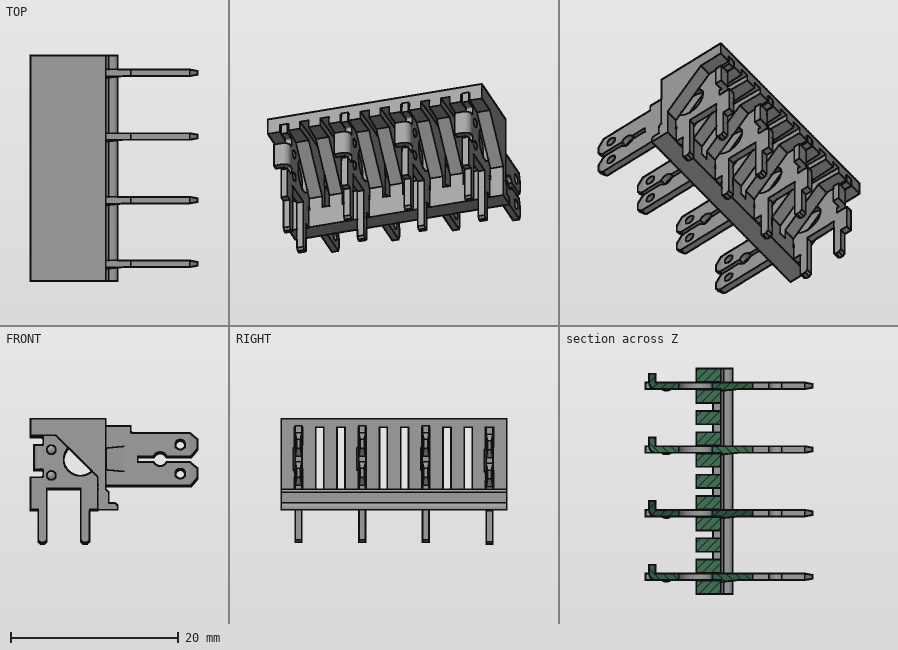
import cadquery as cq
import math


overall_height = 15.0

housing_length = 26.98
housing_depth = 9.0
housing_height = 10.93
lip_height = 2.0
lip_depth = 3.02
back_wall_thickness = 0.95
slope_end_z = 3.95

latch_top_z = 2.48
latch_step = 0.38
latch_reach = 1.45
latch_foot_height = 0.85
latch_radius = 0.55

terminal_count = 4
slots_per_pitch = 3
terminal_pitch = 7.6
slot_pitch = terminal_pitch / slots_per_pitch
slot_count = (terminal_count - 1) * slots_per_pitch + 1
slot_mouth_width = 1.1
slot_width = 0.92
slot_bottom_z = 2.48
slot_top_z = 9.87

sheet = 0.8
sunk_depth = 0.2
mid_z = 6.1
corner_radius = 0.2

plate_top_z = 10.06
plate_bottom_z = 0.1
plate_right_x = housing_depth - back_wall_thickness
window_x = 6.0
window_diameter = 4.0

leg_width = 1.05
leg_left_xs = (0.92, 6.02)
leg_crotch_z = 2.6
leg_tip_z = housing_height + sunk_depth - overall_height
leg_chamfer = 0.3

notch_right_x = 1.55
upper_notch_top_z = 8.82
lower_notch_bottom_z = 3.95
tab_top_z = 7.77
tab_bottom_z = 4.88
tab_face_x = 0.43
tab_overhang = 1.05

dimple_x = 2.5
dimple_zs = (7.2, 4.13)
dimple_diameter = 1.08
dimple_height = 0.2

blade_height = 6.25
blade_end_x = 20.0
shoulder_x = 12.0
tip_length = 0.95
tip_drop = 0.78
tip_thickness = 0.45
split_height = 0.67
split_start_x = 12.85
split_eye_x = 15.51
split_eye_diameter = 1.67
prong_hole_x = 17.91
prong_hole_diameter = 1.2

barb_gap = 0.05
barb_start_x = housing_depth + barb_gap
barb_end_x = 11.15
barb_root_height = 2.6
barb_end_height = 3.0
barb_rise = 0.22


def housing_profile():
    step_x = housing_depth + latch_step
    foot_x = housing_depth + latch_reach
    round_middle = latch_radius * (1 - math.sqrt(0.5))
    return (
        cq.Workplane("XZ", origin=(0, housing_length / 2, 0))
        .moveTo(0, housing_height)
        .lineTo(housing_depth, housing_height)
        .lineTo(housing_depth, latch_top_z)
        .lineTo(step_x, latch_top_z - latch_step)
        .lineTo(step_x, latch_foot_height)
        .lineTo(foot_x - latch_radius, latch_foot_height)
        .threePointArc(
            (foot_x - round_middle, latch_foot_height - round_middle),
            (foot_x, latch_foot_height - latch_radius),
        )
        .lineTo(foot_x, 0)
        .lineTo(plate_right_x, 0)
        .lineTo(plate_right_x, slope_end_z)
        .lineTo(lip_depth, housing_height - lip_height)
        .lineTo(0, housing_height - lip_height)
        .close()
    )


def slot_cutter(y):
    """Slot through the full depth of the housing, with a mouth that narrows along the lip."""
    mouth_half = slot_mouth_width / 2
    slot_half = slot_width / 2
    return (
        cq.Workplane("XY", origin=(0, y, slot_bottom_z))
        .polyline([
            (0, -mouth_half), (lip_depth, -slot_half), (housing_depth, -slot_half),
            (housing_depth, slot_half), (lip_depth, slot_half), (0, mouth_half),
        ])
        .close()
        .extrude(slot_top_z - slot_bottom_z)
    )


def make_housing(terminals):
    body = housing_profile().extrude(housing_length)
    for index in range(slot_count):
        body = body.cut(slot_cutter((index - (slot_count - 1) / 2) * slot_pitch))
    for terminal in terminals:
        body = body.cut(terminal)
    return body


def sheet_box(x_min, x_max, z_min, z_max):
    """Flat rectangle of the terminal sheet, centred on Y = 0."""
    return cq.Workplane("XY").box(x_max - x_min, sheet, z_max - z_min).translate(
        ((x_min + x_max) / 2, 0, (z_min + z_max) / 2)
    )


def sheet_disc(x, z, diameter):
    """Round hole cutter through the terminal sheet."""
    return cq.Workplane("XZ", origin=(x, sheet, z)).circle(diameter / 2).extrude(2 * sheet)


def make_plate():
    plate = sheet_box(0, plate_right_x, plate_bottom_z, plate_top_z)
    plate = plate.cut(
        sheet_box(leg_left_xs[0] + leg_width, leg_left_xs[1], plate_bottom_z, leg_crotch_z)
    )
    for z_min, z_max in ((lower_notch_bottom_z, tab_bottom_z), (tab_top_z, upper_notch_top_z)):
        notch = sheet_box(-notch_right_x, notch_right_x, z_min, z_max)
        plate = plate.cut(notch.edges("|Y and >X").fillet(corner_radius))
    plate = plate.cut(sheet_box(0, tab_face_x + sheet, tab_bottom_z, tab_top_z))
    return plate.cut(sheet_disc(window_x, mid_z, window_diameter))


def make_leg(left_x):
    leg = sheet_box(left_x, left_x + leg_width, leg_tip_z, leg_crotch_z)
    return leg.edges("|Y and <Z").chamfer(leg_chamfer)


def make_tab():
    """Tab bent square to the plate, rounded on the outside of the bend."""
    bend_radius = 0.999 * sheet
    y_min = -sheet / 2
    y_max = sheet / 2 + tab_overhang
    return (
        cq.Workplane("XY", origin=(tab_face_x, y_min, tab_bottom_z))
        .box(sheet, y_max - y_min, tab_top_z - tab_bottom_z, centered=False)
        .edges("|Z and <X and <Y")
        .fillet(bend_radius)
    )


def make_dimple(z):
    """Spherical cap standing out of the -Y face."""
    half = dimple_diameter / 2
    sphere_radius = (half**2 + dimple_height**2) / (2 * dimple_height)
    face_y = -sheet / 2
    ball = cq.Workplane("XY").sphere(sphere_radius, direct=(0, 1, 0)).translate(
        (dimple_x, face_y - dimple_height + sphere_radius, z)
    )
    cap = cq.Workplane("XZ", origin=(dimple_x, 0, z)).circle(half).extrude(sheet)
    return ball.intersect(cap)


def make_blade():
    half = blade_height / 2
    root = sheet_box(plate_right_x, shoulder_x, mid_z, plate_top_z)
    blade = sheet_box(plate_right_x, blade_end_x, mid_z - half, mid_z + half).union(root)
    blade = blade.edges(
        cq.selectors.NearestToPointSelector((shoulder_x, 0, mid_z + half))
    ).fillet(corner_radius)
    blade = blade.cut(
        sheet_box(split_start_x, blade_end_x, mid_z - split_height / 2, mid_z + split_height / 2)
    )
    blade = blade.edges("|Y and >X").chamfer(tip_drop, tip_length)
    blade = blade.cut(sheet_disc(split_eye_x, mid_z, split_eye_diameter))
    prong_offset = (half + split_height / 2) / 2
    for z in (mid_z - prong_offset, mid_z + prong_offset):
        blade = blade.cut(sheet_disc(prong_hole_x, z, prong_hole_diameter))
    return blade.intersect(blade_taper())


def blade_taper():
    """Outline in XY that thins the blade towards its tip."""
    full = sheet / 2
    thin = tip_thickness / 2
    taper_x = blade_end_x - tip_length
    return (
        cq.Workplane("XY")
        .polyline([
            (plate_right_x, -full), (taper_x, -full), (blade_end_x, -thin),
            (blade_end_x, thin), (taper_x, full), (plate_right_x, full),
        ])
        .close()
        .extrude(plate_top_z)
    )


def make_barb():
    """Wedge that is highest at the housing and runs out flush with the blade."""
    ramp = (
        cq.Workplane("XY")
        .polyline([(barb_start_x, 0), (barb_start_x, -sheet / 2 - barb_rise),
                   (barb_end_x, -sheet / 2), (barb_end_x, 0)])
        .close()
        .extrude(plate_top_z)
    )
    root = barb_root_height / 2
    end = barb_end_height / 2
    outline = (
        cq.Workplane("XZ", origin=(0, 0, mid_z))
        .polyline([(barb_start_x, -root), (barb_end_x, -end), (barb_end_x, end), (barb_start_x, root)])
        .close()
        .extrude(sheet)
    )
    return ramp.intersect(outline)


def make_terminal():
    terminal = make_plate().union(make_blade()).union(make_tab()).union(make_barb())
    for left_x in leg_left_xs:
        terminal = terminal.union(make_leg(left_x))
    for z in dimple_zs:
        terminal = terminal.union(make_dimple(z))
    return terminal


terminal_shape = make_terminal()
terminals = []
for index in range(terminal_count):
    y = (index - (terminal_count - 1) / 2) * terminal_pitch
    drop = sunk_depth if index == terminal_count - 1 else 0
    terminals.append(terminal_shape.translate((0, y, -drop)))

housing = make_housing(terminals)

result = cq.Compound.makeCompound([housing.val(), *[terminal.val() for terminal in terminals]])